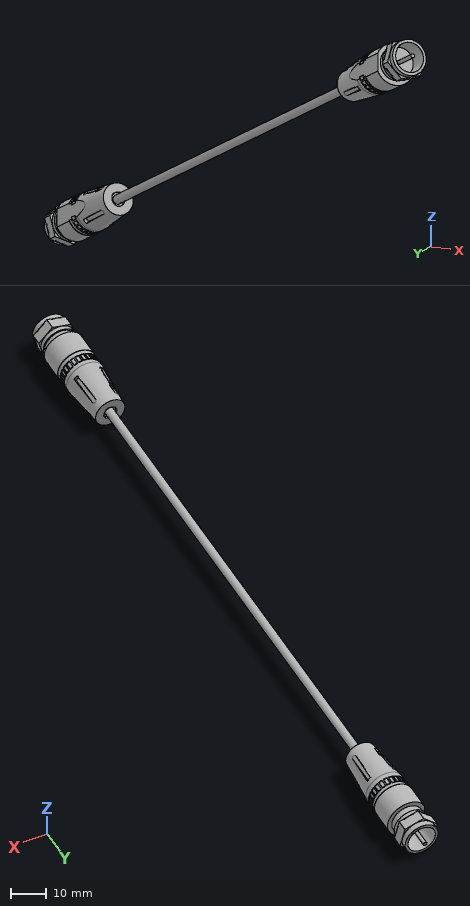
import cadquery as cq


CONDUCTOR_TIP = 115.3
NUT_FRONT = 113.3
HEX_FRONT = 111.5
HEX_BACK = 108.0
NUT_BACK = 106.5
GRIP_FRONT = 104.3
COLLAR_FRONT = 96.2
BAND_FRONT = 94.8
BAND_BACK = 92.5
TAPER_START = 91.0
SLOT_FRONT = 89.0
BOOT_BACK = 76.0

CONDUCTOR_RADIUS = 0.58
JACKET_RADIUS = 1.4
JACKET_END = GRIP_FRONT

NUT_RADIUS = 5.3
SOCKET_RADIUS = 4.4
HEX_CORNER_RADIUS = 6.2
HEX_TURN = 15.0

NECK_RADIUS = 4.8
GRIP_RADIUS = 6.2
COLLAR_STEP = 0.12
COLLAR_RADIUS = GRIP_RADIUS - COLLAR_STEP
TAPER_DROP = 1.4
BACK_RADIUS = COLLAR_RADIUS - TAPER_DROP
LABEL_FLAT_DEPTH = 0.58
LABEL_FLAT_OFFSET = GRIP_RADIUS - LABEL_FLAT_DEPTH

CLEARANCE_RADIUS = 2.0
CLEARANCE_DEPTH = 0.7

BAND_DEPTH = 0.2
RIB_COUNT = 24
RIB_WIDTH = 0.5

SLOT_COUNT = 4
SLOT_WIDTH = 1.4
SLOT_FLOOR_RISE = 0.2
SLOT_FLOOR_RADIUS = BACK_RADIUS + SLOT_FLOOR_RISE
SLOT_FIRST_ANGLE = 45.0


def rod(radius, back, front):
    """Cylinder on the Y axis between two axial positions."""
    return cq.Workplane("XZ", origin=(0, front, 0)).circle(radius).extrude(front - back)


def radial_bars(count, first_angle, width, inner, outer, back, front):
    """Evenly spaced bars around the Y axis, each reaching from an inner to an outer radius."""
    bar = cq.Workplane("XY").box(outer - inner, front - back, width)
    bar = bar.translate(((inner + outer) / 2, (front + back) / 2, 0))
    bars = cq.Workplane("XY")
    for index in range(count):
        angle = first_angle + index * 360 / count
        bars = bars.add(bar.rotate((0, 0, 0), (0, 1, 0), angle))
    return bars.combine()


def make_cable():
    """Jacketed cable whose bare conductor stands out at both ends."""
    jacket = rod(JACKET_RADIUS, -JACKET_END, JACKET_END)
    conductor = rod(CONDUCTOR_RADIUS, -CONDUCTOR_TIP, CONDUCTOR_TIP)
    return jacket.union(conductor)


def make_nut():
    """Round nut with a hexagonal band and an open socket around the conductor."""
    hexagon = (
        cq.Workplane("XZ", origin=(0, HEX_FRONT, 0))
        .polygon(6, 2 * HEX_CORNER_RADIUS)
        .extrude(HEX_FRONT - HEX_BACK)
        .rotate((0, 0, 0), (0, 1, 0), HEX_TURN)
    )
    nut = rod(NUT_RADIUS, NUT_BACK, NUT_FRONT).union(hexagon)
    return nut.cut(rod(SOCKET_RADIUS, NUT_BACK, NUT_FRONT))


def boot_blank():
    """Turned boot: neck, grip, collar and tapered back."""
    profile = [
        (0, NUT_BACK),
        (NECK_RADIUS, NUT_BACK),
        (NECK_RADIUS, GRIP_FRONT),
        (GRIP_RADIUS, GRIP_FRONT),
        (GRIP_RADIUS, COLLAR_FRONT),
        (COLLAR_RADIUS, COLLAR_FRONT),
        (COLLAR_RADIUS, TAPER_START),
        (BACK_RADIUS, BOOT_BACK),
        (0, BOOT_BACK),
    ]
    return cq.Workplane("XY").polyline(profile).close().revolve(360, (0, 0, 0), (0, 1, 0))


def band_groove():
    """Shallow groove around the collar, interrupted by the ribs."""
    floor_radius = COLLAR_RADIUS - BAND_DEPTH
    ring = rod(GRIP_RADIUS, BAND_BACK, BAND_FRONT).cut(rod(floor_radius, BAND_BACK, BAND_FRONT))
    ribs = radial_bars(RIB_COUNT, 0, RIB_WIDTH, NECK_RADIUS, GRIP_RADIUS, BAND_BACK, BAND_FRONT)
    return ring.cut(ribs)


def label_flat():
    """Block that cuts the flat for a label on the -X side, from the grip into the taper."""
    length = GRIP_FRONT - BOOT_BACK
    block = cq.Workplane("XY").box(GRIP_RADIUS, length, 2 * GRIP_RADIUS)
    return block.translate((-LABEL_FLAT_OFFSET - GRIP_RADIUS / 2, BOOT_BACK + length / 2, 0))


def make_boot():
    """Boot with its ribbed band, label flat, taper slots and cable bore."""
    slots = radial_bars(
        SLOT_COUNT, SLOT_FIRST_ANGLE, SLOT_WIDTH, SLOT_FLOOR_RADIUS, GRIP_RADIUS, BOOT_BACK, SLOT_FRONT
    )
    return (
        boot_blank()
        .cut(band_groove())
        .cut(label_flat())
        .cut(slots)
        .cut(rod(CLEARANCE_RADIUS, BOOT_BACK, BOOT_BACK + CLEARANCE_DEPTH))
        .cut(rod(JACKET_RADIUS, BOOT_BACK, JACKET_END))
        .cut(rod(CONDUCTOR_RADIUS, JACKET_END, NUT_BACK))
    )


cable = make_cable()
boot = make_boot()
nut = make_nut()

boots = []
nuts = []
for turn in (0, 180):
    boots.append(boot.rotate((0, 0, 0), (1, 0, 0), turn).val())
    nuts.append(nut.rotate((0, 0, 0), (1, 0, 0), turn).val())

result = cq.Compound.makeCompound([cable.val(), *boots, *nuts])